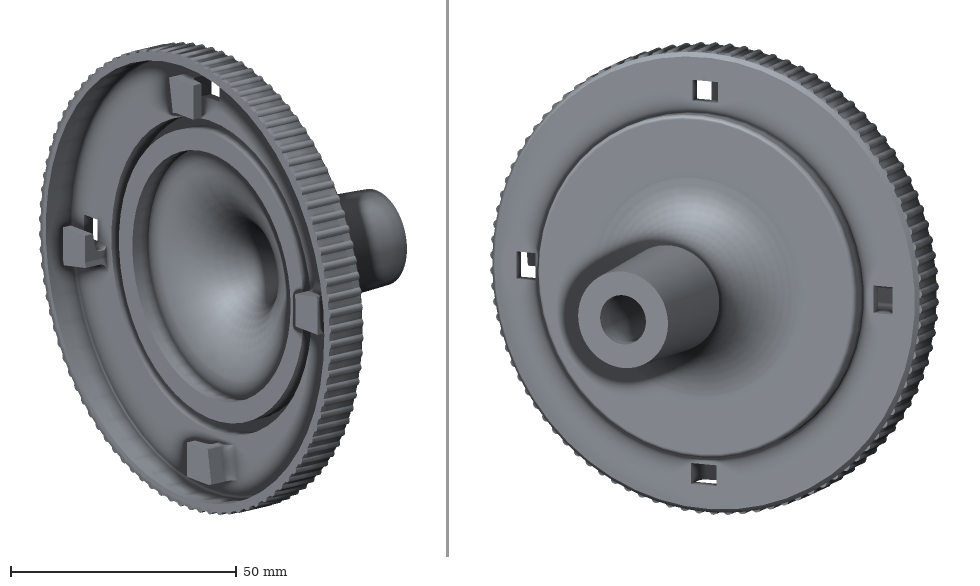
import cadquery as cq
import math

disc_radius = 52.0
rim_inner_radius = 50.1
rim_corner_fillet = 0.5
floor_depth = 7.5
disc_depth = 10.0
disc_chamfer = 0.8

step_radius = 38.8
step_depth = 14.4
step_fillet = 0.9
groove_outer_radius = 36.0
groove_inner_radius = 33.3
dish_radius = 28.5
dish_depth = 12.0

neck_radius = 10.3
shoulder_depth = 28.8
spigot_base_radius = 12.1
spigot_end_radius = 10.9
total_depth = 54.0
bore_radius = 5.6
flare_radius = 25.0

rib_count = 92
rib_radius = 1.0
rib_height = 0.56

hook_count = 4
hook_side = 8.0
hook_inner_radius = 37.8
hook_tip = -1.2
hook_front_depth = 1.5
hook_tip_thickness = 2.2
hook_root_thickness = 3.0
hook_root_fillet = 1.6
post_inner_face = 3.3
post_inner_fillet = 1.0
post_angle = 9.5
post_end_radius = 38.1
post_block_thickness = 1.6
post_foot_fillet = 2.1
slot_inner_radius = 41.1
slot_overrun = 1.8

hook_outer_radius = hook_inner_radius + hook_side
floor_overlap = 0.5


def corner_arc(center_x, center_y, radius, degrees):
    """Point on a circle, used as the middle of a quarter-round arc."""
    angle = math.radians(degrees)
    return (center_x + radius * math.cos(angle), center_y + radius * math.sin(angle))


def revolved_body():
    """Disc, step, neck, spigot and flared bore as one half section turned about Y."""
    neck_arc = shoulder_depth - step_depth
    neck_foot = neck_radius + neck_arc
    flare_arc = flare_radius - bore_radius
    flare_end = dish_depth + flare_arc
    section = (
        cq.Workplane("XY")
        .moveTo(rim_inner_radius, 0)
        .lineTo(disc_radius, 0)
        .lineTo(disc_radius, disc_depth - disc_chamfer)
        .lineTo(disc_radius - disc_chamfer, disc_depth)
        .lineTo(step_radius, disc_depth)
        .lineTo(step_radius, step_depth - step_fillet)
        .threePointArc(
            corner_arc(step_radius - step_fillet, step_depth - step_fillet, step_fillet, 45),
            (step_radius - step_fillet, step_depth),
        )
        .lineTo(neck_foot, step_depth)
        .threePointArc(corner_arc(neck_foot, shoulder_depth, neck_arc, 225), (neck_radius, shoulder_depth))
        .lineTo(spigot_base_radius, shoulder_depth)
        .lineTo(spigot_end_radius, total_depth)
        .lineTo(bore_radius, total_depth)
        .lineTo(bore_radius, flare_end)
        .threePointArc(corner_arc(flare_radius, flare_end, flare_arc, 225), (flare_radius, dish_depth))
        .lineTo(dish_radius, dish_depth)
        .lineTo(dish_radius, floor_depth)
        .lineTo(groove_inner_radius, floor_depth)
        .lineTo(groove_inner_radius, dish_depth)
        .lineTo(groove_outer_radius, dish_depth)
        .lineTo(groove_outer_radius, floor_depth)
        .lineTo(rim_inner_radius - rim_corner_fillet, floor_depth)
        .threePointArc(
            corner_arc(
                rim_inner_radius - rim_corner_fillet, floor_depth - rim_corner_fillet, rim_corner_fillet, 45
            ),
            (rim_inner_radius, floor_depth - rim_corner_fillet),
        )
        .close()
    )
    return section.revolve(360, (0, 0, 0), (0, 1, 0))


def knurl_ribs():
    """All edge ribs, as part-buried cylinders; a gap between two ribs lies on each axis."""
    half_pitch = 180 / rib_count
    return (
        cq.Workplane("XZ")
        .polarArray(disc_radius + rib_height - rib_radius, half_pitch, 360, rib_count)
        .circle(rib_radius)
        .extrude(disc_chamfer - disc_depth)
    )


def radial_prism(profile, start):
    """Extrude a (Y, Z) profile outward along X from the given radius by the hook side."""
    return profile.extrude(hook_side).translate((start, 0, 0))


def hook():
    """Hook at +X: a square lug with a C-shaped section, ended by a post face on a radial plane."""
    lug_end = hook_tip + hook_side
    tip_back = hook_front_depth + hook_tip_thickness
    root_back = hook_front_depth + hook_root_thickness
    lug = radial_prism(
        cq.Workplane("YZ").polyline([
            (hook_front_depth, hook_tip),
            (tip_back, hook_tip),
            (root_back, post_inner_face),
            (floor_depth, post_inner_face),
            (floor_depth, hook_tip),
            (floor_depth + floor_overlap, hook_tip),
            (floor_depth + floor_overlap, lug_end),
            (hook_front_depth, lug_end),
        ]).close(),
        hook_inner_radius,
    )
    root_corner = (hook_inner_radius + hook_side / 2, root_back, post_inner_face)
    floor_corner = (hook_inner_radius + hook_side / 2, floor_depth, post_inner_face)
    lug = lug.edges(cq.selectors.NearestToPointSelector(root_corner)).fillet(hook_root_fillet)
    lug = lug.edges(cq.selectors.NearestToPointSelector(floor_corner)).fillet(post_inner_fillet)
    beyond_post = (
        cq.Workplane("XY")
        .box(2 * disc_radius, disc_depth, hook_side, centered=(False, False, False))
        .rotate((0, 0, 0), (0, 1, 0), -post_angle)
    )
    foot_start = floor_depth - post_foot_fillet
    post = radial_prism(
        cq.Workplane("YZ")
        .moveTo(hook_front_depth, -post_block_thickness)
        .lineTo(hook_front_depth, 0)
        .lineTo(foot_start, 0)
        .threePointArc(
            corner_arc(foot_start, post_foot_fillet, post_foot_fillet, -45), (floor_depth, post_foot_fillet)
        )
        .lineTo(floor_depth + floor_overlap, post_foot_fillet)
        .lineTo(floor_depth + floor_overlap, -post_block_thickness)
        .close(),
        post_end_radius,
    ).rotate((0, 0, 0), (0, 1, 0), -post_angle)
    return lug.cut(beyond_post).union(post)


def slot():
    """Opening through the floor under a hook, from just past its tip to the post."""
    slot_start = hook_tip - slot_overrun
    slot_front = floor_depth - post_inner_fillet
    return (
        cq.Workplane("XY")
        .box(
            hook_outer_radius - slot_inner_radius,
            disc_depth - slot_front,
            post_inner_face - slot_start,
            centered=False,
        )
        .translate((slot_inner_radius, slot_front, slot_start))
    )


result = revolved_body().union(knurl_ribs())
for index in range(hook_count):
    turn = index * 360 / hook_count
    result = result.union(hook().rotate((0, 0, 0), (0, 1, 0), turn))
    result = result.cut(slot().rotate((0, 0, 0), (0, 1, 0), turn))